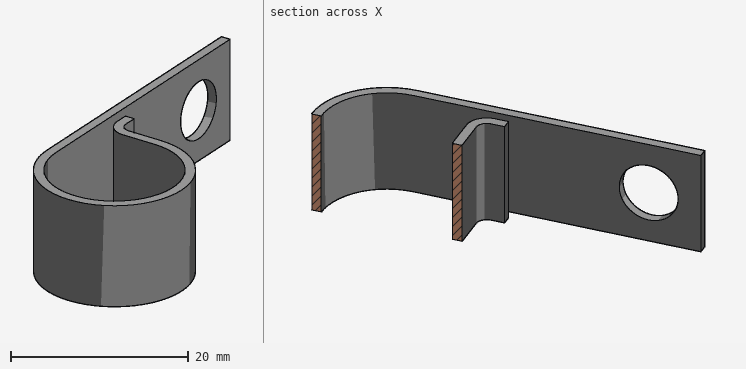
import cadquery as cq

length = 44.1
width = 12.7
loop_diameter = 18.3
thickness = 1.2
hole_diameter = 7.15
lip_left = -6.7
lip_tip = 12.08
bend_inner_radius = 1.3

outer_radius = loop_diameter / 2
inner_radius = outer_radius - thickness
strap_end = length - outer_radius
bend_outer_radius = bend_inner_radius + thickness
bend_x = lip_left + bend_outer_radius
bend_y = inner_radius + bend_outer_radius
hole_y = strap_end - width / 2


def make_band():
    """Extrude the bent strip: flat strap, open loop and turned-up lip."""
    profile = (
        cq.Workplane("XY")
        .workplane(offset=-width / 2)
        .moveTo(-outer_radius, strap_end)
        .lineTo(-outer_radius, 0)
        .threePointArc((0, -outer_radius), (outer_radius, 0))
        .radiusArc((0, outer_radius), -outer_radius)
        .lineTo(bend_x, outer_radius)
        .radiusArc((bend_x - bend_inner_radius, bend_y), bend_inner_radius)
        .lineTo(lip_left + thickness, lip_tip)
        .lineTo(lip_left, lip_tip)
        .lineTo(lip_left, bend_y)
        .radiusArc((bend_x, inner_radius), -bend_outer_radius)
        .lineTo(0, inner_radius)
        .radiusArc((inner_radius, 0), inner_radius)
        .threePointArc((0, -inner_radius), (-inner_radius, 0))
        .lineTo(-inner_radius, strap_end)
        .close()
    )
    return profile.extrude(width)


def make_mounting_hole():
    """Cutter through the strap only, along X."""
    return (
        cq.Workplane("YZ")
        .workplane(offset=-outer_radius)
        .center(hole_y, 0)
        .circle(hole_diameter / 2)
        .extrude(thickness)
    )


result = make_band().cut(make_mounting_hole())